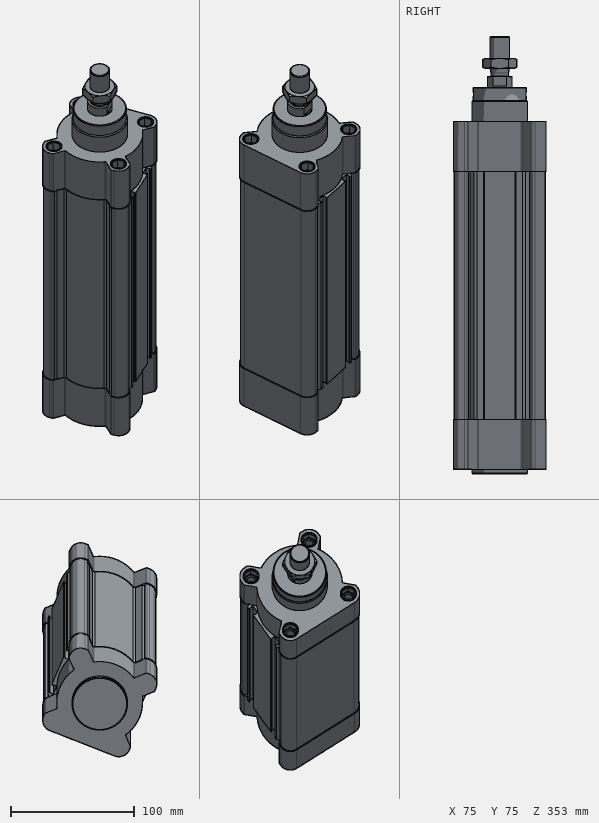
import cadquery as cq
import math

TOTAL_HEIGHT = 353.0
PILOT_HEIGHT = 4.0
CAP_HEIGHT = 40.3
BARREL_LENGTH = 200.2
COLLAR_HEIGHT = 17.0
BUSH_HEIGHT = 10.5
ROD_SHOULDER_LENGTH = 8.5
FLAT_OFFSET = 1.0
NECK_FOOT = 0.7
NECK_LENGTH = 3.2
NECK_FLARE_LENGTH = 3.5
NUT_HEIGHT = 8.0

CAP_WIDTH = 75.0
BARREL_WIDTH = 73.5
LOBE_CENTER = 28.2
CAP_BODY_RADIUS = 34.5
BARREL_BODY_RADIUS = 34.3
BARREL_VALLEY_DISTANCE = 30.0
LOBE_HALF_GAP = 25.5
LOBE_EDGE_RADIUS = 1.25
VALLEY_RADIUS = 0.7

LEDGE_OUTER = 25.0
LEDGE_INNER = 23.0
LEDGE_DISTANCE = 34.3
BARREL_WALL_FOOT = LEDGE_INNER - (LEDGE_DISTANCE - BARREL_VALLEY_DISTANCE)

SLOT_CENTER = 16.0
SLOT_MOUTH = 5.0
SLOT_INNER_WIDTH = 7.0
SLOT_DEPTH = 4.2
SLOT_LIP = 1.5
TOOTH_OUTER = 21.0
GROOVE_DEPTH = 3.2
PANEL_BEVEL_WIDTH = 1.0
PANEL_BEVEL_DEPTH = 0.7

COLLAR_DIAMETER = 45.0
BUSH_DIAMETER = 43.0
BUSH_WAIST = 0.18
COLLAR_CHAMFER = 1.0
RIM_CHAMFER = 0.7
ROD_DIAMETER = 20.0
ROD_FLAT_WIDTH = 17.0
NECK_DIAMETER = 14.5
THREAD_DIAMETER = 16.0
ROD_TIP_CHAMFER = 0.7
NUT_ACROSS_FLATS = 24.0
NUT_CHAMFER_ANGLE = 30.0

RECESS_DIAMETER = 13.0
RECESS_FLOOR_DIAMETER = 12.0
SOCKET_ACROSS_FLATS = 10.0
SOCKET_DEPTH = 8.5
COUNTERSINK_DIAMETER = 9.0
SCREW_HOLE_DIAMETER = 6.7
SCREW_HOLE_DEPTH = 20.0
DRILL_POINT_ANGLE = 118.0

HEXAGON_HALF_ANGLE = math.pi / 6

REAR_CAP_BASE = PILOT_HEIGHT
BARREL_BASE = REAR_CAP_BASE + CAP_HEIGHT
FRONT_CAP_BASE = BARREL_BASE + BARREL_LENGTH
FRONT_CAP_TOP = FRONT_CAP_BASE + CAP_HEIGHT
COLLAR_TOP = FRONT_CAP_TOP + COLLAR_HEIGHT
BUSH_TOP = COLLAR_TOP + BUSH_HEIGHT
SHOULDER_TOP = BUSH_TOP + ROD_SHOULDER_LENGTH
NECK_TOP = SHOULDER_TOP + NECK_LENGTH
THREAD_BASE = NECK_TOP + NECK_FLARE_LENGTH
NUT_BASE = THREAD_BASE


def rounded_block(width, base, height):
    """Square block whose corner roundings are centred on the screw axes."""
    block = cq.Workplane("XY").box(width, width, height, centered=(True, True, False))
    return block.edges("|Z").fillet(width / 2 - LOBE_CENTER).translate((0, 0, base))


def prism(points, base, height):
    return cq.Workplane("XY").workplane(offset=base).polyline(points).close().extrude(height)


def body_cylinder(radius, base, height):
    return cq.Workplane("XY").workplane(offset=base).circle(radius).extrude(height)


def mirrored_outline(half):
    """Close a half outline by adding its mirror image across the Y axis."""
    return half + [(-x, y) for x, y in reversed(half)]


def about_z(solid, angle):
    return solid.rotate((0, 0, 0), (0, 0, 1), angle)


def round_lobe_edges(block, width, sides):
    """Round the lobe edges beside each valley; a side is its angle about Z from -Y."""
    for angle in sides:
        block = about_z(block, -angle)
        for x in (-LOBE_HALF_GAP, LOBE_HALF_GAP):
            edge = cq.selectors.NearestToPointSelector((x, -width / 2, block.val().Center().z))
            block = block.edges(edge).fillet(LOBE_EDGE_RADIUS)
        block = about_z(block, angle)
    return block


def end_cap(base):
    """Cap with four screw lobes; valleys on three sides, flat on +Y."""
    outer = CAP_WIDTH / 2
    wedge_tip = (0, LOBE_HALF_GAP - outer)
    wedge = prism([(LOBE_HALF_GAP, -outer), wedge_tip, (-LOBE_HALF_GAP, -outer)], base, CAP_HEIGHT)
    valley = wedge.cut(body_cylinder(CAP_BODY_RADIUS, base, CAP_HEIGHT))
    valley = valley.edges("|Z").edges(">Y").fillet(VALLEY_RADIUS)
    cap = rounded_block(CAP_WIDTH, base, CAP_HEIGHT)
    for angle in (-90, 0, 90):
        cap = cap.cut(about_z(valley, angle))
    return round_lobe_edges(cap, CAP_WIDTH, (-90, 0, 90))


def barrel_valley():
    """Stepped valley on the -Y side of the barrel."""
    outer = BARREL_WIDTH / 2
    half = [
        (LEDGE_OUTER, -outer),
        (LEDGE_OUTER, -LEDGE_DISTANCE),
        (LEDGE_INNER, -LEDGE_DISTANCE),
        (BARREL_WALL_FOOT, -BARREL_VALLEY_DISTANCE),
    ]
    valley = prism(mirrored_outline(half), BARREL_BASE, BARREL_LENGTH)
    return valley.cut(body_cylinder(BARREL_BODY_RADIUS, BARREL_BASE, BARREL_LENGTH))


def lobe_groove():
    """Groove between a corner lobe and the sensor slot, on the -Y side."""
    outer = BARREL_WIDTH / 2
    floor = outer - GROOVE_DEPTH
    points = [
        (TOOTH_OUTER, -outer),
        (TOOTH_OUTER + GROOVE_DEPTH, -floor),
        (LEDGE_OUTER, -floor),
        (LEDGE_OUTER, -outer),
    ]
    return prism(points, BARREL_BASE, BARREL_LENGTH)


def sensor_slot():
    """Slot with undercut lips and a bevelled edge towards the panel, on the -Y side."""
    outer = BARREL_WIDTH / 2
    mouth = SLOT_MOUTH / 2
    inner = SLOT_INNER_WIDTH / 2
    half = [(mouth, -outer), (inner, SLOT_LIP - outer), (inner, SLOT_DEPTH - outer)]
    slot = prism(mirrored_outline(half), BARREL_BASE, BARREL_LENGTH)
    bevel = [(-mouth, -outer), (-mouth - PANEL_BEVEL_WIDTH, -outer), (-mouth, PANEL_BEVEL_DEPTH - outer)]
    slot = slot.union(prism(bevel, BARREL_BASE, BARREL_LENGTH))
    return slot.translate((SLOT_CENTER, 0, 0))


def make_barrel():
    barrel = rounded_block(BARREL_WIDTH, BARREL_BASE, BARREL_LENGTH).cut(barrel_valley())
    side_cut = lobe_groove().union(sensor_slot())
    side_cuts = side_cut.union(side_cut.mirror("YZ"))
    for angle in (-90, 90):
        barrel = barrel.cut(about_z(side_cuts, angle))
    return round_lobe_edges(barrel, BARREL_WIDTH, (-90, 0, 90))


def pilot_boss():
    pilot = cq.Workplane("XY").circle(COLLAR_DIAMETER / 2).extrude(PILOT_HEIGHT)
    return pilot.faces("<Z").chamfer(RIM_CHAMFER)


def collar():
    """Collar and waisted bush that guide the rod above the front cap."""
    collar_radius = COLLAR_DIAMETER / 2
    bush_radius = BUSH_DIAMETER / 2
    bush_rim = BUSH_TOP - RIM_CHAMFER
    waist = (bush_radius - BUSH_WAIST, (COLLAR_TOP + bush_rim) / 2)
    return (
        cq.Workplane("XZ")
        .moveTo(0, FRONT_CAP_TOP)
        .lineTo(collar_radius, FRONT_CAP_TOP)
        .lineTo(collar_radius, COLLAR_TOP - COLLAR_CHAMFER)
        .lineTo(bush_radius, COLLAR_TOP)
        .threePointArc(waist, (bush_radius, bush_rim))
        .lineTo(bush_radius - RIM_CHAMFER, BUSH_TOP)
        .lineTo(0, BUSH_TOP)
        .close()
        .revolve(360, (0, 0, 0), (0, 1, 0))
    )


def screw_recess():
    """Bevelled rim, hexagon socket and conical-bottomed hole, opening at the front cap's top."""
    hole = SCREW_HOLE_DIAMETER / 2
    recess_floor = RECESS_FLOOR_DIAMETER / 2
    sink = COUNTERSINK_DIAMETER / 2
    tip = SCREW_HOLE_DEPTH + hole / math.tan(math.radians(DRILL_POINT_ANGLE / 2))
    outline = [
        (0, 0),
        (RECESS_DIAMETER / 2, 0),
        (recess_floor, recess_floor - RECESS_DIAMETER / 2),
        (sink, recess_floor - RECESS_DIAMETER / 2),
        (sink, -SOCKET_DEPTH),
        (hole, -SOCKET_DEPTH - (sink - hole)),
        (hole, -SCREW_HOLE_DEPTH),
        (0, -tip),
    ]
    recess = cq.Workplane("XZ").polyline(outline).close().revolve(360, (0, 0, 0), (0, 1, 0))
    corner_diameter = SOCKET_ACROSS_FLATS / math.cos(HEXAGON_HALF_ANGLE)
    socket = cq.Workplane("XY").polygon(6, corner_diameter).extrude(-SOCKET_DEPTH)
    return recess.union(socket).translate((0, 0, FRONT_CAP_TOP))


def make_housing():
    housing = end_cap(REAR_CAP_BASE).union(make_barrel()).union(end_cap(FRONT_CAP_BASE))
    housing = housing.union(pilot_boss()).union(collar())
    for x in (-LOBE_CENTER, LOBE_CENTER):
        for y in (-LOBE_CENTER, LOBE_CENTER):
            housing = housing.cut(screw_recess().translate((x, y, 0)))
    rod_bore = cq.Workplane("XY").workplane(offset=FRONT_CAP_TOP).circle(ROD_DIAMETER / 2)
    return housing.cut(rod_bore.extrude(BUSH_TOP - FRONT_CAP_TOP))


def make_rod():
    """Rod with wrench flats, a flared neck and a plain cylinder for the thread."""
    rod_radius = ROD_DIAMETER / 2
    neck_radius = NECK_DIAMETER / 2
    thread_radius = THREAD_DIAMETER / 2
    flare = thread_radius - neck_radius
    flare_middle = (neck_radius + flare / 4, (NECK_TOP + THREAD_BASE) / 2)
    rod = (
        cq.Workplane("XZ")
        .moveTo(0, FRONT_CAP_TOP)
        .lineTo(rod_radius, FRONT_CAP_TOP)
        .lineTo(rod_radius, SHOULDER_TOP)
        .lineTo(neck_radius + NECK_FOOT, SHOULDER_TOP)
        .lineTo(neck_radius, SHOULDER_TOP + NECK_FOOT)
        .lineTo(neck_radius, NECK_TOP)
        .threePointArc(flare_middle, (thread_radius, THREAD_BASE))
        .lineTo(thread_radius, TOTAL_HEIGHT - ROD_TIP_CHAMFER)
        .lineTo(thread_radius - ROD_TIP_CHAMFER, TOTAL_HEIGHT)
        .lineTo(0, TOTAL_HEIGHT)
        .close()
        .revolve(360, (0, 0, 0), (0, 1, 0))
    )
    flat_base = BUSH_TOP + FLAT_OFFSET
    flat_height = SHOULDER_TOP - flat_base
    flats = (
        cq.Workplane("XY")
        .workplane(offset=flat_base)
        .rect(2 * ROD_DIAMETER, 2 * ROD_DIAMETER)
        .rect(ROD_FLAT_WIDTH, 2 * ROD_DIAMETER)
        .extrude(flat_height)
    )
    return rod.cut(flats)


def make_nut():
    """Hexagon nut with corners along Y, chamfered at both ends."""
    flat_radius = NUT_ACROSS_FLATS / 2
    corner_radius = flat_radius / math.cos(HEXAGON_HALF_ANGLE)
    chamfer_height = (corner_radius - flat_radius) * math.tan(math.radians(NUT_CHAMFER_ANGLE))
    hexagon = cq.Workplane("XY").polygon(6, 2 * corner_radius).extrude(NUT_HEIGHT)
    envelope = (
        cq.Workplane("XY")
        .circle(corner_radius)
        .extrude(NUT_HEIGHT)
        .faces("<Z or >Z")
        .chamfer(chamfer_height, corner_radius - flat_radius)
    )
    bore = cq.Workplane("XY").circle(THREAD_DIAMETER / 2).extrude(NUT_HEIGHT)
    nut = about_z(hexagon, 90).intersect(envelope).cut(bore)
    return nut.translate((0, 0, NUT_BASE))


housing = make_housing()
rod = make_rod()
nut = make_nut()

result = cq.Compound.makeCompound([body.solids().val() for body in (housing, rod, nut)])